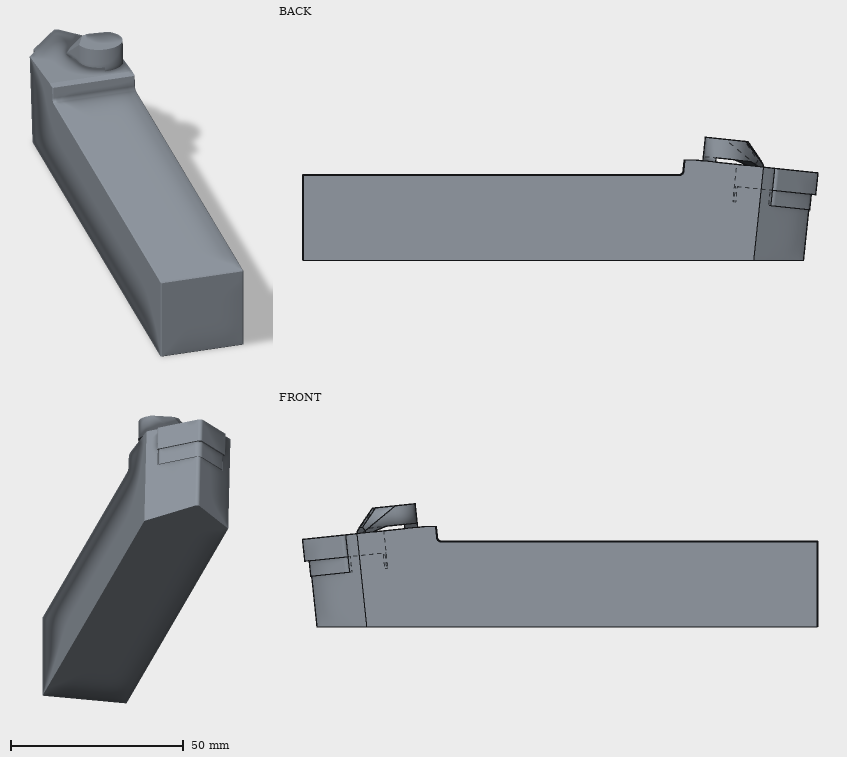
import cadquery as cq
import math

length = 149.5
width = 25.0
shank_height = 25.0
edge_chamfer = 0.3

tilt = 6.0
tip_height = 25.4
crest_start = 36.0
crest_end = 38.9
crest_height = tip_height + crest_start * math.tan(math.radians(tilt))
crest_step = crest_height - shank_height
step_lean = crest_step * math.tan(math.radians(tilt))
step_fillet = 1.0

half_angle = math.radians(40.0)
insert_side = 16.2
insert_radius = 0.9
insert_thickness = 6.5
insert_apex = -insert_radius * (1 / math.sin(half_angle) - 1)
insert_rear = insert_apex + 2 * insert_side * math.cos(half_angle)

nose_apex = 1.0
nose_radius = 0.9
shim_apex = 0.5
shim_radius = 1.5
shim_thickness = 4.5
pocket_depth = insert_thickness + shim_thickness

clamp_x = 27.0
clamp_y = 5.7
clamp_radius = 6.6
clamp_direction = 210.0
clamp_top = 6.9
beak_reach = 11.4
beak_half_width = 2.4
beak_height = 1.6
ramp_start = 6.3
ramp_half_width = 0.97
shoulder_angle = math.radians(67.0)
shoulder_u = clamp_radius * math.cos(shoulder_angle)
shoulder_v = clamp_radius * math.sin(shoulder_angle)
foot_start = 9.3
arch_start = 5.7
arch_height = 1.2
heel_start = -5.4

reach = 89.7


def tilted(body):
    """Move a body from the tilted head frame, with its origin at the cutting tip, to the tool."""
    return body.rotate((0, 0, 0), (0, 1, 0), -tilt).translate((0, 0, tip_height))


def rhombus(apex, far_apex, radius, top, thickness):
    """Rhombic plate from its front apex to its rear apex, with rounded corners."""
    middle = (apex + far_apex) / 2
    half_width = (far_apex - apex) / 2 * math.tan(half_angle)
    return (
        cq.Workplane("XY")
        .workplane(offset=top - thickness)
        .polyline([(apex, 0), (middle, -half_width), (far_apex, 0), (middle, half_width)])
        .close()
        .extrude(thickness)
        .edges("|Z")
        .fillet(radius)
    )


def above_plane(a, b, c):
    """Block on the upper side of the plane through three points."""
    ab = cq.Vector(*b) - cq.Vector(*a)
    ac = cq.Vector(*c) - cq.Vector(*a)
    normal = ab.cross(ac)
    if normal.z < 0:
        normal = -normal
    plane = cq.Plane(origin=a, xDir=ab, normal=normal)
    return cq.Workplane(plane).rect(reach, reach).extrude(reach)


def make_insert():
    return tilted(rhombus(insert_apex, insert_rear, insert_radius, 0, insert_thickness))


def make_shank_and_head():
    profile = (
        cq.Workplane("XZ")
        .moveTo(-width, 0)
        .lineTo(length, 0)
        .lineTo(length, shank_height)
        .lineTo(crest_end + step_lean, shank_height)
        .lineTo(crest_end, crest_height)
        .lineTo(crest_start, crest_height)
        .lineTo(-width, tip_height - width * math.tan(math.radians(tilt)))
        .close()
        .extrude(width / 2, both=True)
    )
    step_edge = cq.selectors.NearestToPointSelector((crest_end + step_lean, 0, shank_height))
    body = profile.edges("|Y").edges(step_edge).fillet(step_fillet)
    shank_top = cq.selectors.NearestToPointSelector((length / 2, 0, shank_height))
    body = body.faces(shank_top).edges("|X").chamfer(edge_chamfer)
    body = body.faces(">X").edges().chamfer(edge_chamfer)

    nose_rear = nose_apex + reach
    nose_half_width = reach * math.tan(half_angle)
    nose = (
        cq.Workplane("XY")
        .workplane(offset=-reach)
        .polyline([
            (nose_apex, 0),
            (nose_rear, -nose_half_width),
            (nose_rear + length, -nose_half_width),
            (nose_rear + length, nose_half_width),
            (nose_rear, nose_half_width),
        ])
        .close()
        .extrude(2 * reach)
        .edges("|Z and <X")
        .fillet(nose_radius)
    )
    return body.intersect(tilted(nose))


def make_shim():
    return tilted(rhombus(shim_apex, insert_rear, shim_radius, -insert_thickness, shim_thickness))


def make_clamp():
    """Clamp bridging from a heel on the holder to a foot on the insert."""
    body = cq.Workplane("XY").circle(clamp_radius).extrude(clamp_top)
    beak = (
        cq.Workplane("XY")
        .polyline([
            (0, -shoulder_v),
            (shoulder_u, -shoulder_v),
            (beak_reach, -beak_half_width),
            (beak_reach, beak_half_width),
            (shoulder_u, shoulder_v),
            (0, shoulder_v),
        ])
        .close()
        .extrude(clamp_top)
    )
    body = body.union(beak)

    body = body.cut(above_plane(
        (ramp_start, -ramp_half_width, clamp_top),
        (ramp_start, ramp_half_width, clamp_top),
        (beak_reach, 0, beak_height),
    ))
    for side in (-1, 1):
        body = body.cut(above_plane(
            (ramp_start, side * ramp_half_width, clamp_top),
            (shoulder_u, side * shoulder_v, clamp_top),
            (beak_reach, side * ramp_half_width, beak_height),
        ))

    arch = (
        cq.Workplane("XZ")
        .polyline([(heel_start, 0), (foot_start, 0), (arch_start, arch_height), (heel_start, arch_height)])
        .close()
        .extrude(reach, both=True)
    )
    body = body.cut(arch)
    placed = body.rotate((0, 0, 0), (0, 0, 1), clamp_direction).translate((clamp_x, clamp_y, 0))
    return tilted(placed)


def make_holder():
    """Shank and head with the insert pocket, the shim and the clamp, all in one solid."""
    pocket = rhombus(insert_apex, insert_rear, insert_radius, 0, pocket_depth)
    open_pocket = pocket.union(pocket.translate((-insert_side / 2, 0, 0)))
    holder = make_shank_and_head().cut(tilted(open_pocket))
    return holder.union(make_shim()).union(make_clamp()).cut(make_insert())


insert = make_insert()
holder = make_holder()
result = cq.Compound.makeCompound([holder.val(), insert.val()])